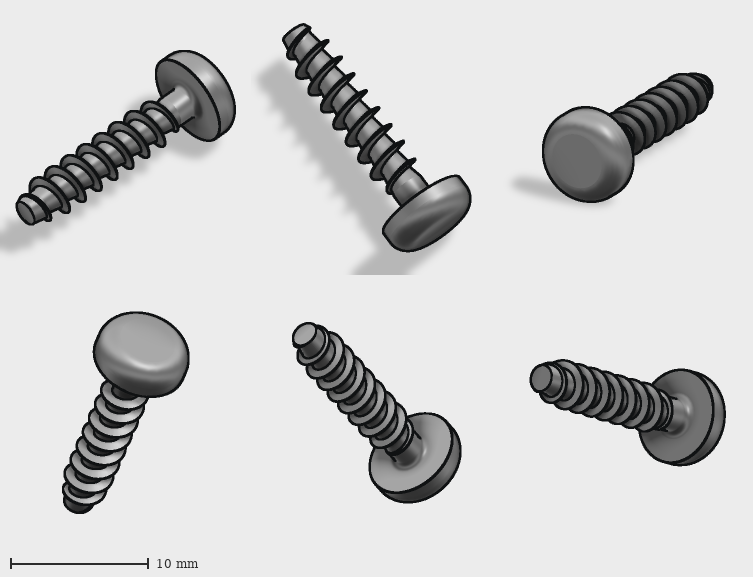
import cadquery as cq
import math

total_length = 18.3
head_diameter = 6.9
head_radius = head_diameter / 2
head_height = 2.29
head_round = 1.39
head_edge_chamfer = 0.04
neck_radius = 1.23
neck_fillet = 0.5
neck_length = 1.74
neck_taper_length = 1.1
core_radius = 0.97
tip_y = head_height - total_length

full_turns = 8
full_turns_advance = 12.55
pitch = full_turns_advance / full_turns
crest_radius = 1.74
crest_half_width = 0.04
root_half_width = 0.22
shoulder_radius = 1.13
relief_radius = 0.95
crest_step = 0.02
buried_radius = 0.82
relief_length = 1.28
thread_start_y = -1.5
tip_overrun = 0.1
thread_end_y = tip_y - tip_overrun
start_crest_radius = 1.23
end_crest_radius = 0.99
run_in_length = 1.92
run_out_length = 2.29
points_per_turn = 24
points_per_segment = 12
tip_trim_length = 1.83
tip_trim_radius = 1.78


def revolve_about_y(sketch):
    return sketch.close().revolve(360, (0, 0, 0), (0, 1, 0))


def make_body():
    """Head, neck and plain core as one revolved profile."""
    arc_offset = head_round * math.sqrt(0.5)
    fillet_offset = neck_fillet * (1 - math.sqrt(0.5))
    profile = (
        cq.Workplane("XY")
        .moveTo(0, head_height)
        .lineTo(head_radius - head_round, head_height)
        .threePointArc(
            (head_radius - head_round + arc_offset, head_height - head_round + arc_offset),
            (head_radius, head_height - head_round),
        )
        .lineTo(head_radius, head_edge_chamfer)
        .lineTo(head_radius - head_edge_chamfer, 0)
        .lineTo(neck_radius + neck_fillet, 0)
        .threePointArc((neck_radius + fillet_offset, -fillet_offset), (neck_radius, -neck_fillet))
        .lineTo(neck_radius, -neck_length)
        .lineTo(core_radius, -neck_length - neck_taper_length)
        .lineTo(core_radius, tip_y)
        .lineTo(0, tip_y)
    )
    return revolve_about_y(profile)


def crest_at(y):
    """Crest radius, rising over the run-in and falling over the run-out."""
    run_in = (thread_start_y - y) / run_in_length
    run_out = (y - thread_end_y) / run_out_length
    rising = start_crest_radius + (crest_radius - start_crest_radius) * run_in
    falling = end_crest_radius + (crest_radius - end_crest_radius) * run_out
    return min(crest_radius, rising, falling)


def thread_section(y):
    """Corners of the thread body as (radius, offset along Y)."""
    crest = crest_at(y)
    height_share = (crest - relief_radius) / (crest_radius - relief_radius)
    half_width = crest_half_width + (root_half_width - crest_half_width) * height_share
    shoulder = min(shoulder_radius, crest - crest_step)
    return [
        (crest, crest_half_width),
        (relief_radius, half_width),
        (buried_radius, half_width),
        (buried_radius, -relief_length),
        (relief_radius, -relief_length),
        (shoulder, -half_width),
        (crest, -crest_half_width),
    ]


def make_thread():
    """Closed skin of ruled faces between the helical edges of the section."""
    length = thread_start_y - thread_end_y
    segments = round(length / pitch * points_per_turn / points_per_segment)
    steps = segments * points_per_segment
    sections = []
    for step in range(steps + 1):
        travel = length * step / steps
        y = thread_start_y - travel
        angle = math.pi + 2 * math.pi * travel / pitch
        sections.append([
            cq.Vector(radius * math.cos(angle), y + offset, radius * math.sin(angle))
            for radius, offset in thread_section(y)
        ])
    faces = []
    for first in range(0, steps, points_per_segment):
        stretch = sections[first:first + points_per_segment + 1]
        edges = [cq.Edge.makeSpline(list(path)) for path in zip(*stretch)]
        faces += [cq.Face.makeRuledSurface(edges[i - 1], edges[i]) for i in range(len(edges))]
    for end in (sections[0], sections[-1]):
        faces.append(cq.Face.makeFromWires(cq.Wire.makePolygon(end, close=True)))
    return cq.Workplane(cq.Solid.makeSolid(cq.Shell.makeShell(faces)).fix())


def make_tip_trim():
    """Envelope that tapers the thread down to the core at the flat tip."""
    return revolve_about_y(
        cq.Workplane("XY")
        .moveTo(0, 0)
        .lineTo(tip_trim_radius, 0)
        .lineTo(tip_trim_radius, tip_y + tip_trim_length)
        .lineTo(core_radius, tip_y)
        .lineTo(0, tip_y)
    )


thread = make_thread().intersect(make_tip_trim())
result = make_body().union(thread)